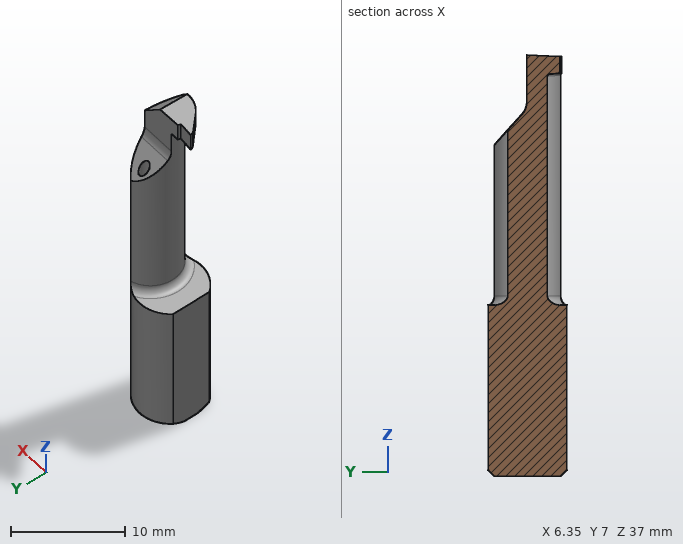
import cadquery as cq
import math

total_length = 37.0
shank_radius = 3.5
shank_length = 15.0
shank_flat_depth = 0.65
end_chamfer = 0.55

neck_center_x = 2.82
neck_radius = 3.05
neck_root_fillet = 0.8

head_center_x = 1.23
head_radius = 3.0
head_thickness = 1.97
tip_x = -2.75
tip_land_depth = 0.35
tip_flank_angle = 45.0
top_relief_angle = 2.5
underside_relief_angle = 4.5
underside_fillet = 0.15
corner_middle_angle = 35.0
top_slope_angle = 2.0
nose_chamfer_start_x = 1.35
nose_chamfer_angle = 43.0

rake_face_y = 0.08
tip_edge_y = -0.03
chip_groove_y = -0.2
chip_groove_end_x = -1.2
chip_groove_rise = 0.1
relief_corner_z = 32.15
relief_slope_angle = 42.0
relief_fillet = 1.5

coolant_x = 1.45
coolant_y = 1.8
coolant_diameter = 1.0

clearance = 10.0


def cylinder_envelope(length):
    return cq.Workplane("XY").circle(shank_radius).extrude(length)


def make_shank():
    shank = cylinder_envelope(shank_length).faces("<Z").chamfer(end_chamfer)
    flat_x = -shank_radius + shank_flat_depth
    flat_cutter = (
        cq.Workplane("XY")
        .box(clearance, 2 * clearance, 2 * shank_length + clearance)
        .translate((flat_x - clearance / 2, 0, 0))
    )
    return shank.cut(flat_cutter)


def make_neck():
    """Eccentric bar with a concave flare where it meets the shank."""
    flare_radius = neck_radius + neck_root_fillet
    flare_top = shank_length + neck_root_fillet
    arc_offset = neck_root_fillet * (1 - math.sqrt(0.5))
    bar = (
        cq.Workplane("XZ")
        .moveTo(0, 0)
        .lineTo(flare_radius, 0)
        .lineTo(flare_radius, shank_length)
        .threePointArc(
            (neck_radius + arc_offset, shank_length + arc_offset),
            (neck_radius, flare_top),
        )
        .lineTo(neck_radius, total_length)
        .lineTo(0, total_length)
        .close()
        .revolve(360, (0, 0), (0, 1))
        .translate((neck_center_x, 0, 0))
    )
    above_shank = cylinder_envelope(total_length - shank_length).translate((0, 0, shank_length))
    return bar.intersect(above_shank)


def tilt_about_rake_edge(body, angle, z):
    """Tilt a body about the X-parallel line lying in the rake face at height z."""
    return body.rotate((0, rake_face_y, z), (1, rake_face_y, z), angle)


def make_head():
    """Flat cutting head with a pointed tip, a straight flank and a round heel."""
    flank = math.radians(tip_flank_angle)
    tangent_x = head_center_x - head_radius * math.sin(flank)
    tangent_y = -head_radius * math.cos(flank)
    land_y = -tip_land_depth
    land_x = tangent_x - (land_y - tangent_y) / math.tan(flank)
    underside_z = total_length - head_thickness
    head = (
        cq.Workplane("XY")
        .moveTo(tip_x, tip_edge_y)
        .lineTo(land_x, land_y)
        .lineTo(tangent_x, tangent_y)
        .threePointArc(
            (head_center_x, -head_radius),
            (head_center_x + head_radius * math.sin(flank), tangent_y),
        )
        .lineTo(shank_radius, tangent_y)
        .lineTo(shank_radius, rake_face_y)
        .lineTo(chip_groove_end_x + chip_groove_rise, rake_face_y)
        .lineTo(chip_groove_end_x, chip_groove_y)
        .close()
        .extrude(total_length)
        .intersect(cylinder_envelope(total_length))
    )
    below_head = (
        cq.Workplane("XY")
        .box(2 * clearance, 2 * clearance, 2 * total_length)
        .translate((0, 0, underside_z - total_length))
    )
    return head.cut(tilt_about_rake_edge(below_head, -underside_relief_angle, underside_z))


def make_top_cutter():
    """Removes everything above the sloped top face and the nose chamfer."""
    chamfer_top_z = total_length - (nose_chamfer_start_x - tip_x) * math.tan(math.radians(top_slope_angle))
    chamfer_drop = clearance * math.tan(math.radians(nose_chamfer_angle))
    cutter = (
        cq.Workplane("XZ")
        .moveTo(tip_x, total_length)
        .lineTo(nose_chamfer_start_x, chamfer_top_z)
        .lineTo(nose_chamfer_start_x + clearance, chamfer_top_z - chamfer_drop)
        .lineTo(nose_chamfer_start_x + clearance, total_length + clearance)
        .lineTo(tip_x - clearance, total_length + clearance)
        .lineTo(tip_x - clearance, total_length)
        .close()
        .extrude(clearance, both=True)
    )
    return tilt_about_rake_edge(cutter, top_relief_angle, total_length)


def make_chip_relief():
    """Opens the back of the bar down to the rake face, ending in a rounded ramp."""
    ramp_drop = clearance / math.tan(math.radians(relief_slope_angle))
    return (
        cq.Workplane("YZ")
        .moveTo(rake_face_y, total_length + clearance)
        .lineTo(rake_face_y, relief_corner_z)
        .lineTo(rake_face_y + clearance, relief_corner_z - ramp_drop)
        .lineTo(rake_face_y + clearance, total_length + clearance)
        .close()
        .extrude(clearance, both=True)
        .edges(cq.selectors.NearestToPointSelector((0, rake_face_y, relief_corner_z)))
        .fillet(relief_fillet)
    )


def make_coolant_bore():
    return (
        cq.Workplane("XY")
        .center(coolant_x, coolant_y)
        .circle(coolant_diameter / 2)
        .extrude(total_length)
    )


def make_bar():
    """Neck and head joined by a small fillet under the head."""
    bar = make_neck().cut(make_chip_relief()).union(make_head())
    corner_angle = math.radians(corner_middle_angle)
    underside_corner = (
        neck_center_x - neck_radius * math.cos(corner_angle),
        -neck_radius * math.sin(corner_angle),
        total_length - head_thickness,
    )
    corner_edge = cq.selectors.NearestToPointSelector(underside_corner)
    bar = bar.edges(corner_edge).fillet(underside_fillet)
    return bar.cut(make_top_cutter())


result = make_shank().union(make_bar()).cut(make_coolant_bore())